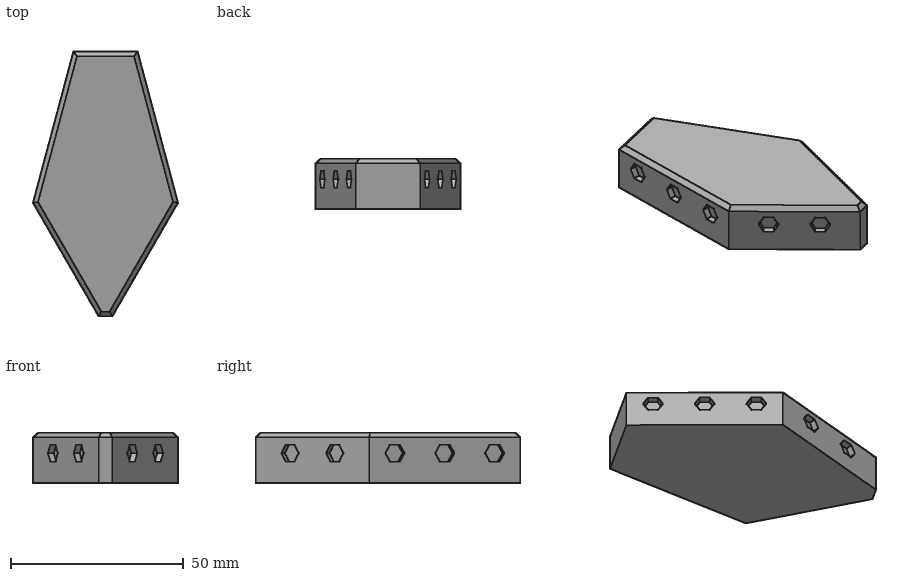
import cadquery as cq
import math

length = 76.75
width = 42.1
height = 14.6
front_width = 4.0
back_width = 18.65
shoulder_y = 32.9
bevel = 1.4

hex_across_flats = 5.0
hex_diameter = hex_across_flats * 2 / math.sqrt(3)
hex_depth = 2.0
hex_spacing = 15.0
hex_center_z = 8.7
front_hex_count = 2
back_hex_count = 3

front_corner = (front_width / 2, 0)
shoulder_corner = (width / 2, shoulder_y)
back_corner = (back_width / 2, length)


def make_body():
    """Symmetric six-sided plate with a bevel around its top edge."""
    right_side = [front_corner, shoulder_corner, back_corner]
    left_side = [(-x, y) for x, y in reversed(right_side)]
    plate = cq.Workplane("XY").polyline(right_side + left_side).close().extrude(height)
    return plate.faces(">Z").chamfer(bevel)


def make_hex_row(start, end, count):
    """Row of hexagonal prisms centered on the +X side face between two corners."""
    run_x = end[0] - start[0]
    run_y = end[1] - start[1]
    face_center = ((start[0] + end[0]) / 2, (start[1] + end[1]) / 2, hex_center_z)
    face_plane = cq.Plane(origin=face_center, xDir=(run_x, run_y, 0), normal=(run_y, -run_x, 0))
    row = cq.Workplane(face_plane).rarray(hex_spacing, 0.8, count, 1)
    return row.polygon(6, hex_diameter).extrude(-hex_depth)


result = make_body()
for start, end, count in (
    (front_corner, shoulder_corner, front_hex_count),
    (shoulder_corner, back_corner, back_hex_count),
):
    hex_row = make_hex_row(start, end, count)
    result = result.cut(hex_row).cut(hex_row.mirror("YZ"))